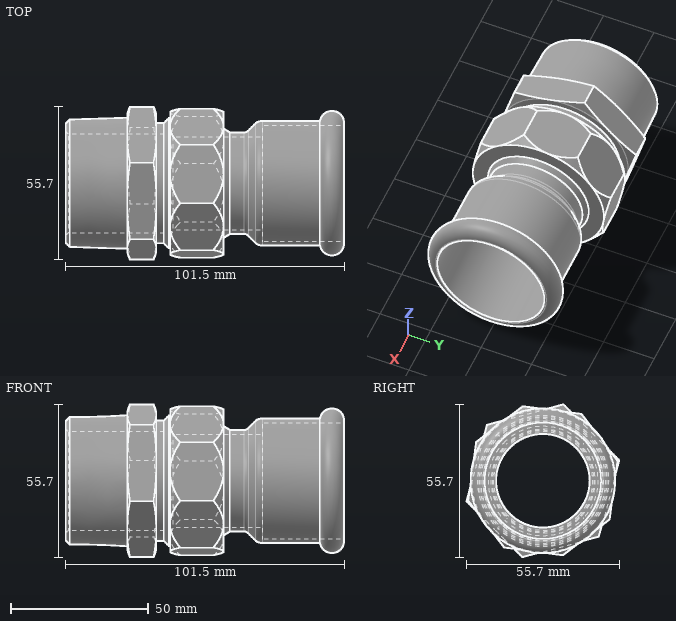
import cadquery as cq
import math


overall_length = 101.5
thread_end_x = 22.2
hexagon_start_x = 22.4
hexagon_end_x = 33.1
neck_end_x = 35.8
nut_start_x = 38.1
nut_end_x = 57.5

thread_end_diameter = 47.8
thread_taper = 1 / 16
thread_chamfer = 1.5
nipple_neck_diameter = 44.0
nipple_collar_diameter = 47.6

corner_angle = 15.0
hexagon_sides = 6
hexagon_flats = 49.9
hexagon_chamfer_angle = 15.0
nut_sides = 8
nut_flats = 52.0
nut_chamfer_angle = 60.0

flare_diameter = 40.0
flare_length = 2.3
tail_neck_diameter = 37.0
tail_neck_end_x = 65.0
inner_bend_radius = 2.2
outer_bend_radius = 3.6
shoulder_angle = 45.0
socket_diameter = 45.5
bead_diameter = 52.8
bead_section_radius = 4.5

nipple_bore = 36.0
mouth_chamfer = 0.9
tail_bore = 34.0
socket_bore = 42.4


def revolve_about_x(profile):
    """Turn a closed half profile (X along, Y as radius) into a solid about the X axis."""
    return profile.revolve(360, (0, 0, 0), (1, 0, 0))


def chamfered_prism(start_x, end_x, sides, flats, chamfer_angle):
    """Wrench prism whose corners are coned off at both ends, the cones starting at the flats."""
    corner_radius = flats / 2 / math.cos(math.pi / sides)
    prism = (
        cq.Workplane("YZ")
        .workplane(offset=start_x)
        .polygon(sides, 2 * corner_radius)
        .extrude(end_x - start_x)
        .rotate((0, 0, 0), (1, 0, 0), corner_angle)
    )
    chamfer_length = (corner_radius - flats / 2) * math.tan(math.radians(chamfer_angle))
    overshoot = 1.2
    cone_length = chamfer_length * overshoot
    cone_radius = flats / 2 + (corner_radius - flats / 2) * overshoot
    envelope = revolve_about_x(
        cq.Workplane("XY")
        .moveTo(start_x, 0)
        .lineTo(start_x, flats / 2)
        .lineTo(start_x + cone_length, cone_radius)
        .lineTo(end_x - cone_length, cone_radius)
        .lineTo(end_x, flats / 2)
        .lineTo(end_x, 0)
        .close()
    )
    return prism.intersect(envelope)


def nipple():
    """Tapered thread body, the neck behind the hexagon and the collar against the nut."""
    collar_rise = (nipple_collar_diameter - nipple_neck_diameter) / 2
    chamfer_top = (thread_end_diameter - thread_taper * (thread_end_x - thread_chamfer)) / 2
    return revolve_about_x(
        cq.Workplane("XY")
        .moveTo(0, 0)
        .lineTo(0, chamfer_top - thread_chamfer)
        .lineTo(thread_chamfer, chamfer_top)
        .lineTo(thread_end_x, thread_end_diameter / 2)
        .lineTo(hexagon_start_x, thread_end_diameter / 2)
        .lineTo(hexagon_start_x, nipple_neck_diameter / 2)
        .lineTo(neck_end_x, nipple_neck_diameter / 2)
        .lineTo(neck_end_x + collar_rise, nipple_collar_diameter / 2)
        .lineTo(nut_start_x, nipple_collar_diameter / 2)
        .lineTo(nut_start_x, 0)
        .close()
    )


def arc_point(center, radius, angle):
    """Point on a circle in the half-profile plane, angle in degrees from +X."""
    turn = math.radians(angle)
    return center[0] + radius * math.cos(turn), center[1] + radius * math.sin(turn)


shoulder_slope = math.tan(math.radians(shoulder_angle))
inner_bend_center = (tail_neck_end_x, tail_neck_diameter / 2 + inner_bend_radius)
cone_start = arc_point(inner_bend_center, inner_bend_radius, shoulder_angle - 90)
bend_drop = outer_bend_radius * (1 - math.cos(math.radians(shoulder_angle)))
cone_end_radius = socket_diameter / 2 - bend_drop
cone_end = (cone_start[0] + (cone_end_radius - cone_start[1]) / shoulder_slope, cone_end_radius)
socket_start_x = cone_end[0] + outer_bend_radius * math.sin(math.radians(shoulder_angle))
outer_bend_center = (socket_start_x, socket_diameter / 2 - outer_bend_radius)


def tailpiece():
    """Flare out of the nut, neck, rounded shoulder and the cylindrical press socket."""
    bead_center_x = overall_length - bead_section_radius
    return revolve_about_x(
        cq.Workplane("XY")
        .moveTo(nut_end_x, 0)
        .lineTo(nut_end_x, flare_diameter / 2)
        .lineTo(nut_end_x + flare_length, tail_neck_diameter / 2)
        .lineTo(tail_neck_end_x, tail_neck_diameter / 2)
        .threePointArc(arc_point(inner_bend_center, inner_bend_radius, shoulder_angle / 2 - 90), cone_start)
        .lineTo(*cone_end)
        .threePointArc(
            arc_point(outer_bend_center, outer_bend_radius, 90 + shoulder_angle / 2),
            (socket_start_x, socket_diameter / 2),
        )
        .lineTo(bead_center_x, socket_diameter / 2)
        .lineTo(bead_center_x, 0)
        .close()
    )


def bead():
    """Half-round bead at the socket mouth."""
    section_center_radius = bead_diameter / 2 - bead_section_radius
    return revolve_about_x(
        cq.Workplane("XY")
        .moveTo(overall_length - 2 * bead_section_radius, 0)
        .lineTo(overall_length - 2 * bead_section_radius, section_center_radius)
        .threePointArc(
            (overall_length - bead_section_radius, bead_diameter / 2),
            (overall_length, section_center_radius),
        )
        .lineTo(overall_length, 0)
        .close()
    )


def passage():
    """Through passage: chamfered mouth, nipple bore, step to the tail bore, press socket."""
    bore_step = (nipple_bore - tail_bore) / 2
    return revolve_about_x(
        cq.Workplane("XY")
        .moveTo(0, 0)
        .lineTo(0, nipple_bore / 2 + mouth_chamfer)
        .lineTo(mouth_chamfer, nipple_bore / 2)
        .lineTo(nut_start_x, nipple_bore / 2)
        .lineTo(nut_start_x + bore_step, tail_bore / 2)
        .lineTo(socket_start_x, tail_bore / 2)
        .lineTo(socket_start_x, socket_bore / 2)
        .lineTo(overall_length, socket_bore / 2)
        .lineTo(overall_length, 0)
        .close()
    )


hexagon = chamfered_prism(
    hexagon_start_x, hexagon_end_x, hexagon_sides, hexagon_flats, hexagon_chamfer_angle
)
nut = chamfered_prism(nut_start_x, nut_end_x, nut_sides, nut_flats, nut_chamfer_angle)

result = nipple().union(hexagon).union(nut).union(tailpiece()).union(bead()).cut(passage())